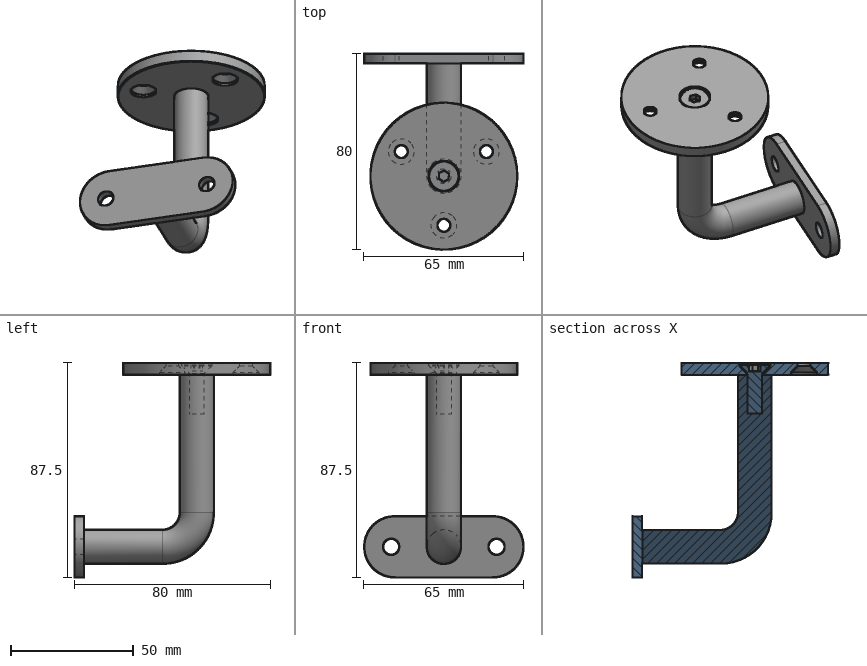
import cadquery as cq
import math


total_height = 87.5
disc_axis_to_plate_back = 50.0

disc_diameter = 60.0
disc_thickness = 5.0
disc_edge_chamfer = 0.3

fixing_hole_count = 3
fixing_circle_radius = 20.0
fixing_hole_diameter = 5.2
fixing_head_diameter = 10.4
fixing_head_recess = 1.1

arm_diameter = 14.0
bend_radius = 14.0

plate_length = 65.0
plate_height = 25.0
plate_thickness = 4.0
plate_hole_diameter = 6.5
plate_hole_spacing = 43.0

screw_head_diameter = 12.0
screw_shank_diameter = 6.0
screw_length = 20.0
screw_rim_height = 0.5
screw_recess_diameter = 12.5
screw_recess_depth = 0.8
socket_width = 4.0
socket_depth = 2.5
socket_turn = -5.0

disc_underside = total_height - disc_thickness
arm_axis_height = plate_height / 2
plate_front = disc_axis_to_plate_back - plate_thickness
screw_top = total_height - screw_recess_depth
screw_cone_top = screw_top - screw_rim_height
screw_cone_height = (screw_head_diameter - screw_shank_diameter) / 2
screw_rim_clearance = (screw_recess_diameter - screw_head_diameter) / 2


def revolved_about_z(profile):
    """Solid of revolution from (radius, height) points."""
    return cq.Workplane("XZ").polyline(profile).close().revolve(360, (0, 0, 0), (0, 1, 0))


def make_screw_blank():
    """Countersunk screw without its socket: shank, cone and a short cylindrical rim."""
    head_radius = screw_head_diameter / 2
    shank_radius = screw_shank_diameter / 2
    return revolved_about_z([
        (0, screw_top),
        (head_radius, screw_top),
        (head_radius, screw_cone_top),
        (shank_radius, screw_cone_top - screw_cone_height),
        (shank_radius, screw_top - screw_length),
        (0, screw_top - screw_length),
    ])


def make_screw():
    """Screw blank with its hexagon socket cut from the top."""
    socket_corner_diameter = socket_width / math.cos(math.pi / 6)
    socket = (
        cq.Workplane("XY", origin=(0, 0, screw_top))
        .transformed(rotate=(0, 0, 90 + socket_turn))
        .polygon(6, socket_corner_diameter)
        .extrude(-socket_depth)
    )
    return make_screw_blank().cut(socket)


def make_screw_recess():
    """Cutter around the screw rim, ending on the same 90 degree cone as the screw head."""
    head_radius = screw_head_diameter / 2
    recess_radius = screw_recess_diameter / 2
    return revolved_about_z([
        (0, total_height),
        (recess_radius, total_height),
        (recess_radius, screw_cone_top + screw_rim_clearance),
        (head_radius, screw_cone_top),
        (0, screw_cone_top),
    ])


def make_fixing_hole():
    """Cutter on the Z axis: plain hole, 90 degree countersink, then a clearance for the head."""
    hole_radius = fixing_hole_diameter / 2
    head_radius = fixing_head_diameter / 2
    head_level = disc_underside + fixing_head_recess
    return revolved_about_z([
        (0, disc_underside),
        (head_radius, disc_underside),
        (head_radius, head_level),
        (hole_radius, head_level + head_radius - hole_radius),
        (hole_radius, total_height),
        (0, total_height),
    ])


def make_disc():
    """Round disc with its fixing holes and the countersunk hole for the screw."""
    disc = (
        cq.Workplane("XY", origin=(0, 0, disc_underside))
        .circle(disc_diameter / 2)
        .extrude(disc_thickness)
        .faces("<Z").edges().chamfer(disc_edge_chamfer)
    )
    fixing_hole = make_fixing_hole().translate((0, -fixing_circle_radius, 0))
    for index in range(fixing_hole_count):
        angle = index * 360 / fixing_hole_count
        disc = disc.cut(fixing_hole.rotate((0, 0, 0), (0, 0, 1), angle))
    return disc.cut(make_screw_recess()).cut(make_screw_blank())


def make_arm():
    """Round bar from the disc down, around a quarter bend and back to the plate."""
    path = (
        cq.Workplane("YZ")
        .moveTo(0, disc_underside)
        .lineTo(0, arm_axis_height + bend_radius)
        .radiusArc((bend_radius, arm_axis_height), -bend_radius)
        .lineTo(plate_front, arm_axis_height)
    )
    bar = cq.Workplane("XY", origin=(0, 0, disc_underside)).circle(arm_diameter / 2).sweep(path)
    return bar.cut(make_screw_blank())


def make_plate():
    """Upright stadium plate with two plain holes."""
    return (
        cq.Workplane("XZ", origin=(0, plate_front, arm_axis_height))
        .slot2D(plate_length, plate_height)
        .pushPoints([(-plate_hole_spacing / 2, 0), (plate_hole_spacing / 2, 0)])
        .circle(plate_hole_diameter / 2)
        .extrude(-plate_thickness)
    )


disc = make_disc()
screw = make_screw()
arm = make_arm()
plate = make_plate()

result = cq.Compound.makeCompound([disc.val(), screw.val(), arm.val(), plate.val()])